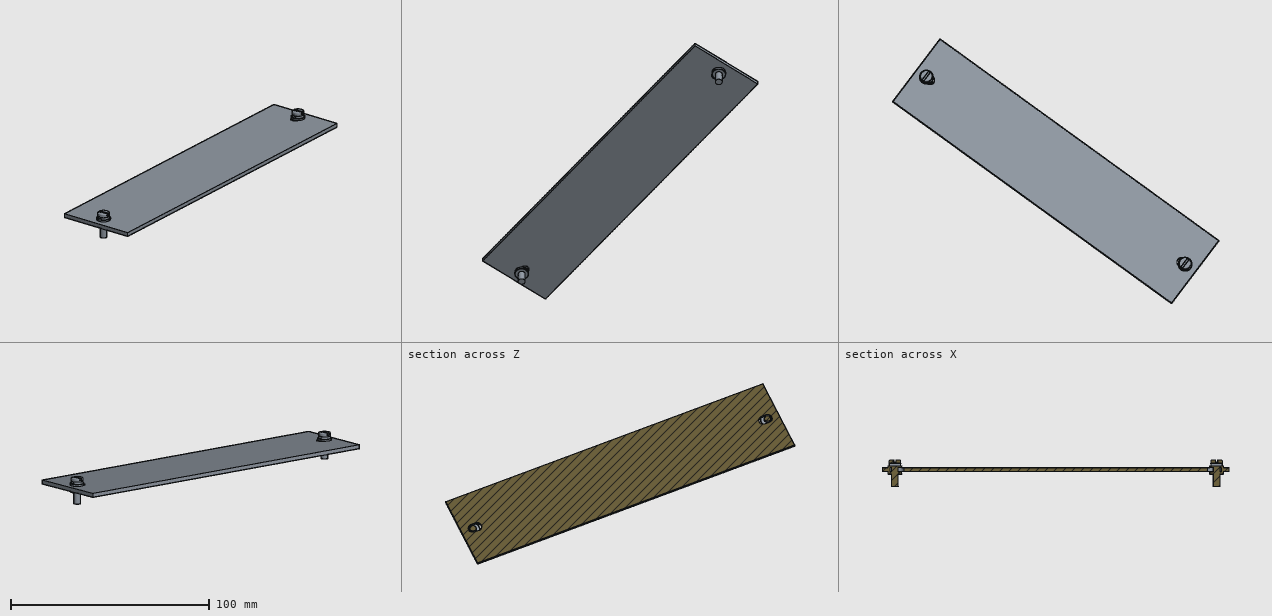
import cadquery as cq

plate_width = 40.0
plate_length = 174.7
plate_thickness = 2.1

screw_spacing = 162.1
opening_width = 4.5
opening_reach = 4.5

washer_diameter = 7.0
top_washer_thickness = 0.9
bottom_washer_thickness = 1.4
bottom_washer_chamfer = 0.2

ring_diameter = 6.1
ring_thickness = 1.2
ring_gap_width = 1.5

shank_diameter = 3.5
shank_length = 6.1
head_diameter = 6.0
head_height = 1.7
head_edge_radius = 0.44
driver_slot_width = 1.0
driver_slot_depth = 1.0

ring_base = plate_thickness + top_washer_thickness
head_base = ring_base + ring_thickness
head_top = head_base + head_height
shank_tip = -bottom_washer_thickness - shank_length


def disc(diameter, base, top):
    """Vertical disc on the screw axis between two heights."""
    return cq.Workplane("XY").workplane(offset=base).circle(diameter / 2).extrude(top - base)


def bar(size_x, size_y, base, top):
    """Block centred on the screw axis between two heights."""
    return cq.Workplane("XY").workplane(offset=base).rect(size_x, size_y).extrude(top - base)


def opening():
    """Slot from the screw axis toward the middle of the plate (-Y), round at both ends."""
    length = opening_reach + opening_width / 2
    return (
        cq.Workplane("XY")
        .center(0, length / 2 - opening_reach)
        .slot2D(length, opening_width, 90)
        .extrude(plate_thickness)
    )


def screw():
    """Screw with its washers and split ring; the ring gap runs right through along Y."""
    head = disc(head_diameter, head_base, head_top).faces(">Z").edges().fillet(head_edge_radius)
    driver_slot = bar(head_diameter, driver_slot_width, head_top - driver_slot_depth, head_top)
    ring_gap = bar(ring_gap_width, ring_diameter, ring_base, head_base)
    bottom_washer = (
        disc(washer_diameter, -bottom_washer_thickness, 0)
        .faces("<Z")
        .chamfer(bottom_washer_chamfer)
    )
    return (
        disc(shank_diameter, shank_tip, head_base)
        .union(bottom_washer)
        .union(disc(washer_diameter, plate_thickness, ring_base))
        .union(disc(ring_diameter, ring_base, head_base))
        .union(head)
        .cut(driver_slot)
        .cut(ring_gap)
    )


plate = bar(plate_width, plate_length, 0, plate_thickness)

result = plate
for turn in (0, 180):
    offset = (0, screw_spacing / 2, 0)
    half_turn = ((0, 0, 0), (0, 0, 1), turn)
    result = result.cut(opening().translate(offset).rotate(*half_turn))
    result = result.union(screw().translate(offset).rotate(*half_turn))